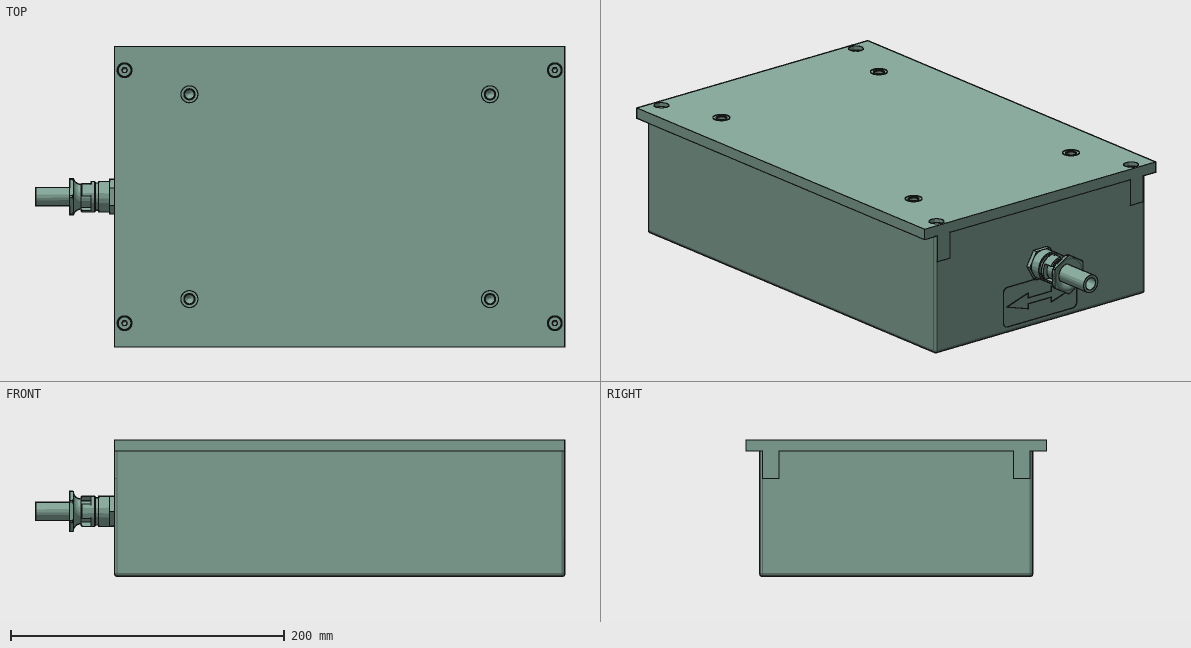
import cadquery as cq
import math

overall_length = 387.5
overall_height = 100.0

lid_length = 330.0
lid_width = 220.0
lid_thickness = 8.0
lid_underside = overall_height - lid_thickness
lid_center_x = lid_length / 2

box_length = lid_length
box_width = 200.0
edge_radius = 2.0

post_height = 20.0
post_width = 12.0
post_center_y = box_width / 2 - edge_radius - post_width / 2

drill_tip_angle = 118.0

screw_inset = 7.5
screw_side_distance = 17.5
screw_offset_x = lid_length / 2 - screw_inset
screw_offset_y = lid_width / 2 - screw_side_distance
post_depth = 2 * screw_inset
counterbore_diameter = 11.0
counterbore_depth = 6.0
head_diameter = 9.3
head_height = 3.0
shank_diameter = 5.0
shank_length = 15.5
socket_corners = 4.3
socket_tip_diameter = 3.5
socket_depth = 1.5

mount_spacing_x = 220.0
mount_spacing_y = 150.0
mount_recess_diameter = 12.5
mount_recess_depth = 0.5
mount_rim_diameter = 8.0
mount_hole_diameter = 7.0
mount_hole_depth = 3.0

panel_width = 69.8
panel_height = 31.0
panel_bottom = 4.5
panel_corner_radius = 4.0
panel_depth = 0.5
panel_center_z = panel_bottom + panel_height / 2
arrow_tip = 31.5
arrow_barb = 11.0
arrow_head_half_height = 6.2
arrow_shaft_half_height = 2.5
arrow_depth = 0.5

connector_z = 47.5
cable_diameter = 13.5
cable_bore_diameter = 9.3
cable_core_diameter = 6.0
cable_core_depth = 4.0
cable_reach = overall_length - lid_length
base_hex_corners = 25.5
base_hex_reach = 3.5
barrel_diameter = 22.5
barrel_reach = 11.5
groove_diameter = 20.0
ring_back = 14.0
ring_front = 24.5
ring_chamfer = 0.8
neck_diameter = 18.2
flare_diameter = 25.5
front_hex_corners = 30.5
turned_diameter = 30.0
front_hex_back = 30.0
front_hex_reach = 33.0
hex_chamfer = 0.8
mouth_radius = 5.5
slot_count = 3
slot_width = 12.0
slot_back = 17.0
slot_floor_diameter = 16.0


def corner_points(offset_x, offset_y):
    """Four points placed symmetrically about the middle of the lid."""
    return [(lid_center_x + sx * offset_x, sy * offset_y) for sx in (-1, 1) for sy in (-1, 1)]


def drill_tip_length(radius):
    """Height of the conical point that a drill leaves at the bottom of a hole."""
    return radius / math.tan(math.radians(drill_tip_angle / 2))


screw_points = corner_points(screw_offset_x, screw_offset_y)
mount_points = corner_points(mount_spacing_x / 2, mount_spacing_y / 2)


def make_posts():
    """Corner posts, flush with the end faces of the box."""
    points = corner_points((lid_length - post_depth) / 2, post_center_y)
    return (
        cq.Workplane("XY", origin=(0, 0, lid_underside))
        .pushPoints(points)
        .rect(post_depth, post_width)
        .extrude(-post_height)
    )


def end_face_plane(depth):
    """Sketch plane parallel to the -X face, sunk by depth; local x is -Y, extrusion is outward."""
    return cq.Workplane(cq.Plane(origin=(depth, 0, panel_center_z), xDir=(0, -1, 0), normal=(-1, 0, 0)))


def make_panel_recess():
    panel = end_face_plane(panel_depth).rect(panel_width, panel_height).extrude(panel_depth)
    return panel.edges("|X").fillet(panel_corner_radius)


def make_arrow_recess():
    outline = [
        (arrow_tip, 0),
        (arrow_barb, arrow_head_half_height),
        (arrow_barb, arrow_shaft_half_height),
        (-arrow_barb, arrow_shaft_half_height),
        (-arrow_barb, arrow_head_half_height),
        (-arrow_tip, 0),
        (-arrow_barb, -arrow_head_half_height),
        (-arrow_barb, -arrow_shaft_half_height),
        (arrow_barb, -arrow_shaft_half_height),
        (arrow_barb, -arrow_head_half_height),
    ]
    return end_face_plane(panel_depth + arrow_depth).polyline(outline).close().extrude(arrow_depth)


def make_box():
    body = (
        cq.Workplane("XY", origin=(lid_center_x, 0, 0))
        .rect(box_length, box_width)
        .extrude(lid_underside)
        .edges("|Z or <Z")
        .fillet(edge_radius)
    )
    return body.cut(make_posts()).cut(make_panel_recess()).cut(make_arrow_recess())


def make_screw_holes():
    """Counterbored holes that take the lid screws."""
    floor_z = overall_height - counterbore_depth
    bores = cq.Workplane("XY", origin=(0, 0, floor_z)).pushPoints(screw_points)
    counterbores = bores.circle(counterbore_diameter / 2).extrude(counterbore_depth)
    shank_holes = bores.circle(shank_diameter / 2).extrude(-shank_length)
    return counterbores.union(shank_holes)


def make_mount_hole(x, y):
    """Shallow recess, chamfered rim and a blind hole with a drill-point bottom."""
    hole_radius = mount_hole_diameter / 2
    rim_radius = mount_rim_diameter / 2
    recess_radius = mount_recess_diameter / 2
    rim_chamfer = rim_radius - hole_radius
    profile = [
        (0, 0),
        (recess_radius, 0),
        (recess_radius, -mount_recess_depth),
        (rim_radius, -mount_recess_depth),
        (hole_radius, -mount_recess_depth - rim_chamfer),
        (hole_radius, -mount_hole_depth),
        (0, -mount_hole_depth - drill_tip_length(hole_radius)),
    ]
    tool = cq.Workplane("XZ").polyline(profile).close().revolve(360, (0, 0, 0), (0, 1, 0))
    return tool.translate((x, y, overall_height))


def make_lid():
    body = (
        cq.Workplane("XY", origin=(lid_center_x, 0, lid_underside))
        .rect(lid_length, lid_width)
        .extrude(lid_thickness)
        .union(make_posts())
        .cut(make_screw_holes())
    )
    for x, y in mount_points:
        body = body.cut(make_mount_hole(x, y))
    return body


def make_screw(x, y):
    """Cylinder-head screw with a hexagonal drive socket that ends in a conical drill point."""
    seat = cq.Workplane("XY", origin=(x, y, overall_height - counterbore_depth))
    shank = seat.circle(shank_diameter / 2).extrude(-shank_length)
    head = seat.circle(head_diameter / 2).extrude(head_height)
    socket = seat.workplane(offset=head_height).polygon(6, socket_corners).extrude(-socket_depth)
    tip_radius = socket_tip_diameter / 2
    socket_floor_z = overall_height - counterbore_depth + head_height - socket_depth
    tip_base = cq.Vector(x, y, socket_floor_z)
    tip = cq.Solid.makeCone(tip_radius, 0, drill_tip_length(tip_radius), tip_base, cq.Vector(0, 0, -1))
    return head.union(shank).cut(socket).cut(cq.Workplane(tip))


def connector_plane(reach):
    """Plane across the connector axis, facing out of the box; local x is -Y, local y is Z."""
    return cq.Workplane(cq.Plane(origin=(-reach, 0, connector_z), xDir=(0, -1, 0), normal=(-1, 0, 0)))


def disc(start, end, diameter):
    return connector_plane(start).circle(diameter / 2).extrude(end - start)


def make_base_hex():
    """Hexagon against the box, with corners pointing along Y."""
    return connector_plane(0).polygon(6, base_hex_corners).extrude(base_hex_reach)


def make_front_hex():
    """Hexagon with corners pointing along Z and its back corners turned down to a cone."""
    thickness = front_hex_reach - front_hex_back
    hexagon = (
        connector_plane(front_hex_back)
        .transformed(rotate=(0, 0, 30))
        .polygon(6, front_hex_corners)
        .extrude(thickness)
    )
    blank = disc(front_hex_back, front_hex_reach, turned_diameter).faces(">X").chamfer(hex_chamfer)
    return hexagon.intersect(blank)


def make_neck():
    """Neck that flares from the ring to the front hexagon in a concave arc."""
    neck_radius = neck_diameter / 2
    flare_radius = flare_diameter / 2
    flare_length = front_hex_back - ring_front
    flare_rise = flare_radius - neck_radius
    flare_arc_radius = (flare_length**2 + flare_rise**2) / (2 * flare_rise)
    return (
        cq.Workplane("XZ")
        .moveTo(-ring_front, 0)
        .lineTo(-ring_front, neck_radius)
        .radiusArc((-front_hex_back, flare_radius), flare_arc_radius)
        .lineTo(-front_hex_back, 0)
        .close()
        .revolve(360, (0, 0, 0), (1, 0, 0))
        .translate((0, 0, connector_z))
    )


def make_slotted_ring():
    """Coupling ring with slots open toward the cable, the first one on the +Y side."""
    ring = disc(ring_back, ring_front, barrel_diameter).edges().chamfer(ring_chamfer)
    outer_radius = barrel_diameter / 2
    slot = (
        connector_plane(slot_back)
        .center(-outer_radius, 0)
        .rect(2 * outer_radius, slot_width)
        .extrude(ring_front - slot_back)
    )
    for index in range(slot_count):
        angle = index * 360 / slot_count
        ring = ring.cut(slot.rotate((0, 0, connector_z), (1, 0, connector_z), angle))
    return ring.union(disc(slot_back, ring_front, slot_floor_diameter))


def make_connector():
    body = (
        make_base_hex()
        .union(disc(base_hex_reach, barrel_reach, barrel_diameter))
        .union(disc(barrel_reach, ring_back, groove_diameter))
        .union(make_slotted_ring())
        .union(make_neck())
        .union(make_front_hex())
    )
    mouth_floor = front_hex_reach - mouth_radius
    mouth = (
        cq.Workplane("XZ")
        .moveTo(-mouth_floor, 0)
        .lineTo(-mouth_floor, cable_diameter / 2)
        .radiusArc((-front_hex_reach, cable_diameter / 2 + mouth_radius), mouth_radius)
        .lineTo(-front_hex_reach, 0)
        .close()
        .revolve(360, (0, 0, 0), (1, 0, 0))
        .translate((0, 0, connector_z))
    )
    cable = disc(mouth_floor, cable_reach, cable_diameter)
    cable_bore = disc(front_hex_reach, cable_reach, cable_bore_diameter)
    cable_core = disc(front_hex_reach - cable_core_depth, front_hex_reach, cable_core_diameter)
    return body.cut(mouth).union(cable).cut(cable_bore).cut(cable_core)


box = make_box()
lid = make_lid()
screws = [make_screw(x, y) for x, y in screw_points]
connector = make_connector()

result = cq.Compound.makeCompound(
    [box.val(), lid.val(), *[screw.val() for screw in screws], connector.val()]
)